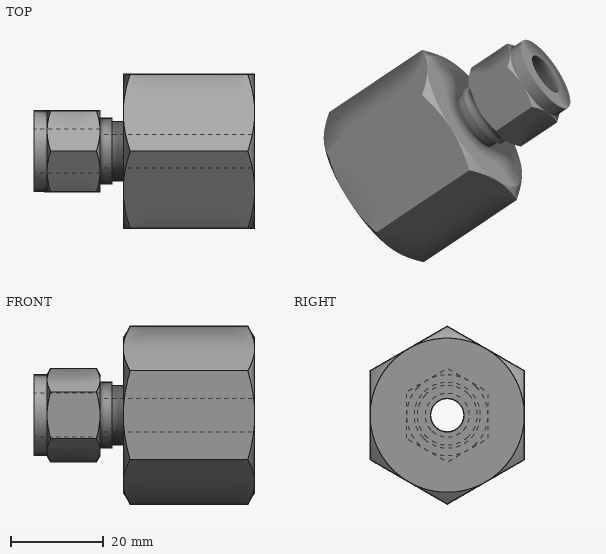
import cadquery as cq
import math

total_length = 47.75
collar_end = 2.85
nut_end = 14.32
ring_end = 16.95
neck_end = 19.35
x_start = -total_length / 2

nut_flats = 17.52
body_flats = 33.35
collar_diameter = nut_flats
ring_diameter = 14.3
neck_diameter = 12.95
socket_diameter = 9.5
socket_depth = nut_end
bore_diameter = 7.15

hex_sides = 6
chamfer_angle = 30.0


def section_plane(start):
    """Plane across the axis, at a distance from the collar end."""
    return cq.Workplane("YZ", origin=(x_start + start, 0, 0))


def cylinder(start, end, diameter):
    return section_plane(start).circle(diameter / 2).extrude(end - start)


def chamfered_hex(start, end, flats):
    """Hexagon with corners up and down, turned down to the flats at both ends."""
    flat_radius = flats / 2
    corner_radius = flat_radius / math.cos(math.pi / hex_sides)
    chamfer_length = (corner_radius - flat_radius) * math.tan(math.radians(chamfer_angle))
    left = x_start + start
    right = x_start + end
    corner_angles = [2 * math.pi * i / hex_sides for i in range(hex_sides)]
    corners = [(corner_radius * math.sin(a), corner_radius * math.cos(a)) for a in corner_angles]
    prism = section_plane(start).polyline(corners).close().extrude(end - start)
    envelope = (
        cq.Workplane("XY")
        .moveTo(left, 0)
        .lineTo(left, flat_radius)
        .lineTo(left + chamfer_length, corner_radius)
        .lineTo(right - chamfer_length, corner_radius)
        .lineTo(right, flat_radius)
        .lineTo(right, 0)
        .close()
        .revolve(360, (0, 0, 0), (1, 0, 0))
    )
    return prism.intersect(envelope)


collar = cylinder(0, collar_end, collar_diameter)
nut = chamfered_hex(collar_end, nut_end, nut_flats)
ring = cylinder(nut_end, ring_end, ring_diameter)
neck = cylinder(ring_end, neck_end, neck_diameter)
body = chamfered_hex(neck_end, total_length, body_flats)

socket = cylinder(0, socket_depth, socket_diameter)
bore = cylinder(0, total_length, bore_diameter)

result = collar.union(nut).union(ring).union(neck).union(body).cut(socket).cut(bore)